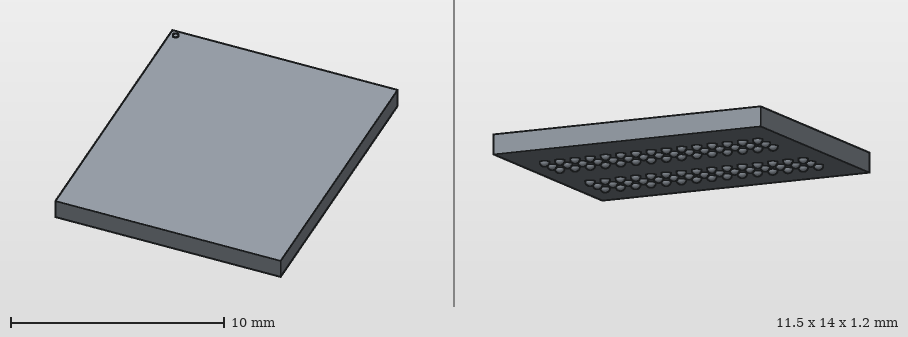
import cadquery as cq

body_width = 11.5
body_length = 14.0
total_height = 1.2
ball_radius = 0.24
body_height = total_height - ball_radius

ball_pitch = 0.8
ball_rows = 15
column_steps = (-4, -3, -2, 2, 3, 4)

mark_diameter = 0.3
mark_inset = 0.3
mark_depth = 0.04


def make_body():
    body = cq.Workplane("XY").box(body_width, body_length, body_height, centered=(True, True, False))
    mark = (
        cq.Workplane("XY", origin=(0, 0, body_height - mark_depth))
        .center(mark_inset - body_width / 2, body_length / 2 - mark_inset)
        .circle(mark_diameter / 2)
        .extrude(mark_depth)
    )
    return body.cut(mark)


def make_balls():
    """Lower half balls whose flat faces lie on the underside of the body."""
    half_ball = cq.Solid.makeSphere(ball_radius, angleDegrees1=-90, angleDegrees2=0)
    balls = cq.Workplane("XY")
    for column in column_steps:
        for row in range(ball_rows):
            x = column * ball_pitch
            y = (row - (ball_rows - 1) / 2) * ball_pitch
            balls = balls.add(half_ball.moved(cq.Location(cq.Vector(x, y, 0))))
    return balls


result = cq.Workplane("XY").newObject([make_body().val().fuse(*make_balls().vals())])